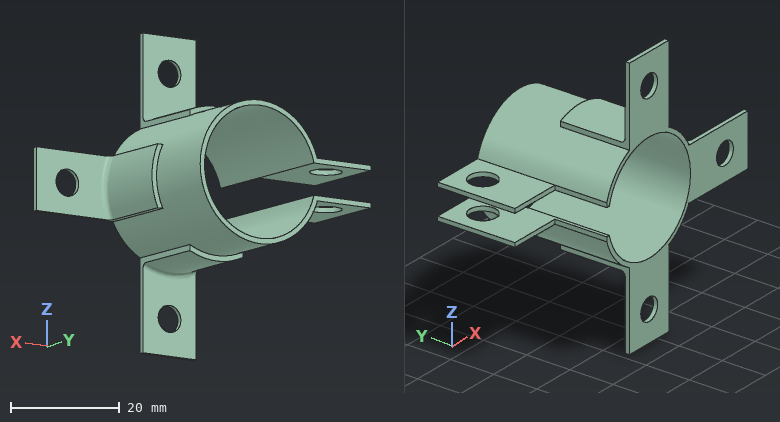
import cadquery as cq
import math

sheet = 1.0
bore_radius = 12.5
tube_length = 30.0
reach = 30.0

bracket_width = 12.0
bracket_depth = 16.0
bend_radius = 1.0
flange_hole_radius = 2.5
flange_hole_offset = 23.0
bracket_angles = (0, 90, -90)

gap = 6.0
ear_tip = 25.0
ear_width = 18.0
ear_hole_radius = 3.0
ear_hole_from_tip = 6.0
ear_hole_from_back = 6.0

tube_radius = bore_radius + sheet
strip_radius = tube_radius + sheet
ear_outer_z = gap / 2 + sheet
lip_x = -math.sqrt(tube_radius**2 - ear_outer_z**2)


def box(x_range, y_range, z_range):
    sizes = [high - low for low, high in (x_range, y_range, z_range)]
    corner = (x_range[0], y_range[0], z_range[0])
    return cq.Workplane("XY").box(*sizes, centered=False).translate(corner)


def cylinder(radius, length):
    """Solid cylinder on the Y axis, starting at Y = 0."""
    return cq.Workplane("XZ").circle(radius).extrude(-length)


def make_tube():
    """Split tube whose two lips end in flat faces in line with the ears."""
    tube = cylinder(tube_radius, tube_length)
    slot = box((-tube_radius, 0), (0, tube_length), (-gap / 2, gap / 2))
    lip_trim = box((-tube_radius, lip_x), (0, tube_length), (-ear_outer_z, ear_outer_z))
    return tube.cut(slot).cut(lip_trim)


def make_bracket():
    """Curved strip along the tube, bent out into a flat flange towards +X."""
    bend_end = strip_radius + bend_radius
    bend_top = sheet + bend_radius
    middle = bend_radius * (1 - math.sqrt(0.5))
    profile = (
        cq.Workplane("XY")
        .moveTo(bore_radius, 0)
        .lineTo(bend_end, 0)
        .lineTo(bend_end, sheet)
        .threePointArc((strip_radius + middle, sheet + middle), (strip_radius, bend_top))
        .lineTo(strip_radius, bracket_depth)
        .lineTo(bore_radius, bracket_depth)
        .close()
    )
    half_width = bracket_width / 2
    width_limits = box((0, reach), (0, bracket_depth), (-half_width, half_width))
    strip = profile.revolve(360, (0, 0, 0), (0, 1, 0)).intersect(width_limits)
    flange = box((bore_radius, reach), (0, sheet), (-half_width, half_width))
    hole = cylinder(flange_hole_radius, sheet).translate((flange_hole_offset, 0, 0))
    return strip.union(flange).cut(hole)


def make_ear():
    """Upper clamp ear, at the back end of the tube."""
    ear = box((-ear_tip, lip_x), (tube_length - ear_width, tube_length), (gap / 2, ear_outer_z))
    hole = (
        cq.Workplane("XY")
        .center(-ear_tip + ear_hole_from_tip, tube_length - ear_hole_from_back)
        .circle(ear_hole_radius)
        .extrude(ear_outer_z)
    )
    return ear.cut(hole)


body = make_tube()
for angle in bracket_angles:
    body = body.union(make_bracket().rotate((0, 0, 0), (0, 1, 0), angle))

body = body.cut(cylinder(bore_radius, tube_length))

upper_ear = make_ear()
result = body.union(upper_ear).union(upper_ear.mirror("XY"))